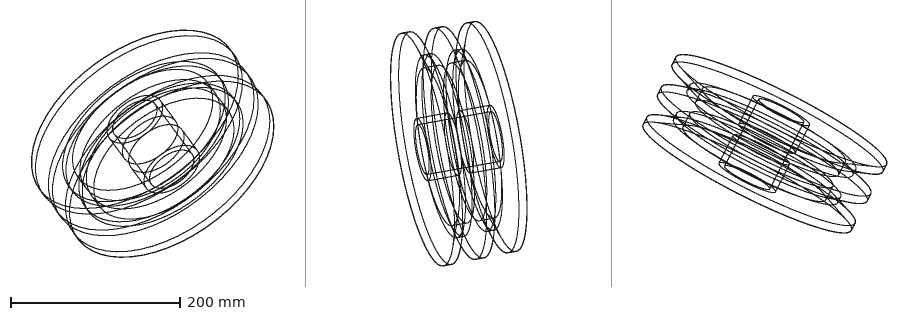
import cadquery as cq

width = 90.0
rim_width = 10.0
groove_floor_width = 8.0
outer_flank_width = 12.0

first_rim_radius = 140.0
middle_rim_radius = 139.2
last_rim_radius = 138.3
first_groove_radius = 110.0
second_groove_radius = 109.0

dish_depth = 19.0
recess_radius = 95.0
web_thickness = 15.0
hub_radius = 37.5
bore_radius = 30.0

half_width = width / 2
half_rim = rim_width / 2
half_web = web_thickness / 2
dish_bottom = half_width - dish_depth
end_rim_edge = half_width - rim_width
floor_outer = end_rim_edge - outer_flank_width
floor_inner = floor_outer - groove_floor_width

grooved_rim = [
    (-half_width, first_rim_radius),
    (-end_rim_edge, first_rim_radius),
    (-floor_outer, first_groove_radius),
    (-floor_inner, first_groove_radius),
    (-half_rim, middle_rim_radius),
    (half_rim, middle_rim_radius),
    (floor_inner, second_groove_radius),
    (floor_outer, second_groove_radius),
    (end_rim_edge, last_rim_radius),
    (half_width, last_rim_radius),
]


def face_profile(side):
    """Dish, recess, web and hub of one face, from the dish edge in to the bore."""
    return [
        (side * dish_bottom, recess_radius),
        (side * half_web, recess_radius),
        (side * half_web, hub_radius),
        (side * half_width, hub_radius),
        (side * half_width, bore_radius),
    ]


section = grooved_rim + face_profile(1) + face_profile(-1)[::-1]

result = cq.Workplane("XY").polyline(section).close().revolve(360, (0, 0, 0), (1, 0, 0))